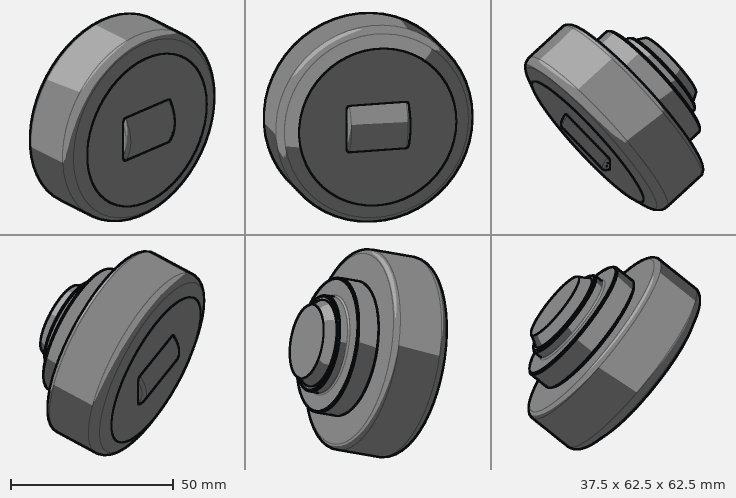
import cadquery as cq
import math

cone_end_x = 3.45
hub_start_x = 7.0
hub_end_x = 14.45
roller_start_x = 14.8
roller_end_x = 35.0
overall_length = 37.45

cone_end_radius = 13.5
cone_angle = math.radians(30)
stub_radius = 15.0
stub_chamfer = 0.5
stub_fillet = 0.55
hub_radius = 21.0
hub_chamfer = 0.45
neck_radius = 19.25

roller_radius = 31.25
roller_start_fillet = 1.55
roller_end_fillet = 3.0
end_face_radius = 25.0
end_taper_angle = math.radians(20)

disc_radius = 12.5
disc_width = 20.0
disc_fillet = 1.0


def make_stub_and_hub():
    tip_radius = cone_end_radius - cone_end_x * math.tan(cone_angle)
    diagonal = math.sqrt(0.5)
    fillet_mid = (
        hub_start_x - stub_fillet * (1 - diagonal),
        stub_radius + stub_fillet * (1 - diagonal),
    )
    profile = (
        cq.Workplane("XY")
        .lineTo(0, tip_radius)
        .lineTo(cone_end_x, cone_end_radius)
        .lineTo(cone_end_x, stub_radius - stub_chamfer)
        .lineTo(cone_end_x + stub_chamfer, stub_radius)
        .lineTo(hub_start_x - stub_fillet, stub_radius)
        .threePointArc(fillet_mid, (hub_start_x, stub_radius + stub_fillet))
        .lineTo(hub_start_x, hub_radius - hub_chamfer)
        .lineTo(hub_start_x + hub_chamfer, hub_radius)
        .lineTo(hub_end_x - hub_chamfer, hub_radius)
        .lineTo(hub_end_x, hub_radius - hub_chamfer)
        .lineTo(hub_end_x, neck_radius)
        .lineTo(roller_start_x, neck_radius)
        .lineTo(roller_start_x, 0)
        .close()
    )
    return profile.revolve(360, (0, 0, 0), (1, 0, 0))


def make_roller():
    tangent_drop = roller_end_fillet * (1 - math.sin(end_taper_angle))
    taper_start_radius = roller_radius - tangent_drop
    taper_length = (taper_start_radius - end_face_radius) * math.tan(end_taper_angle)
    taper_start_x = roller_end_x - taper_length
    rounding_center_x = taper_start_x - roller_end_fillet * math.cos(end_taper_angle)
    rounding_center_radius = roller_radius - roller_end_fillet
    mid_angle = (math.pi / 2 + end_taper_angle) / 2
    rounding_mid = (
        rounding_center_x + roller_end_fillet * math.cos(mid_angle),
        rounding_center_radius + roller_end_fillet * math.sin(mid_angle),
    )
    profile = (
        cq.Workplane("XY")
        .moveTo(roller_start_x, 0)
        .lineTo(roller_start_x, roller_radius)
        .lineTo(rounding_center_x, roller_radius)
        .threePointArc(rounding_mid, (taper_start_x, taper_start_radius))
        .lineTo(roller_end_x, end_face_radius)
        .lineTo(roller_end_x, 0)
        .close()
    )
    roller = profile.revolve(360, (0, 0, 0), (1, 0, 0))
    return roller.faces("<X").edges().fillet(roller_start_fillet)


def make_side_disc():
    disc = (
        cq.Workplane("XZ")
        .center(overall_length - disc_radius, 0)
        .circle(disc_radius)
        .extrude(disc_width / 2, both=True)
    )
    return disc.faces("<Y or >Y").edges().fillet(disc_fillet)


result = make_stub_and_hub().union(make_roller()).union(make_side_disc())